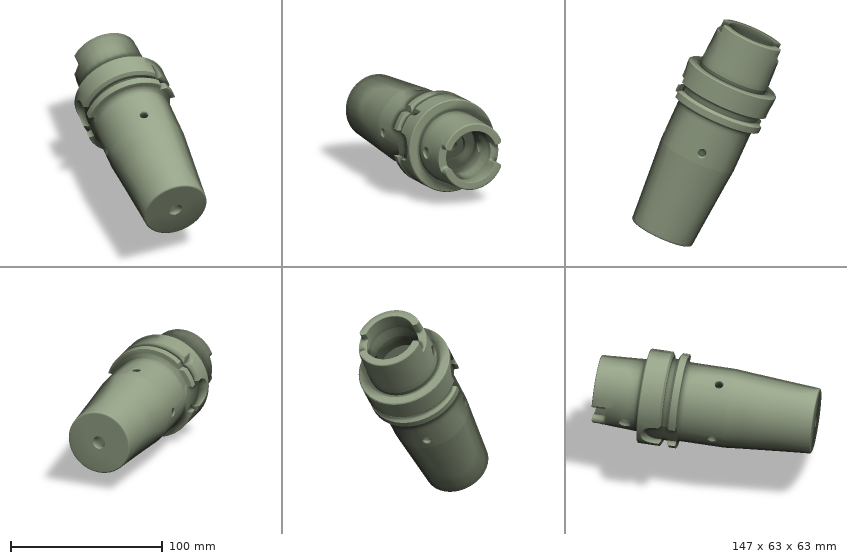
import cadquery as cq
import math

LENGTH = 147.0

NOSE_RADIUS = 22.6
TAPER_END_RADIUS = 24.1
TAPER_LENGTH = 29.7
NOSE_ROUND = 1.0
RELIEF_RADIUS = 23.8
RELIEF_SLOPE_LENGTH = 0.9

FLANGE_START = 31.9
FLANGE_DIAMETER = 63.0
FLANGE_RADIUS = FLANGE_DIAMETER / 2
FLANGE_EDGE = 0.6
FACE_RECESS_RADIUS = 25.6
FACE_RECESS_DEPTH = 0.6

GROOVE_START = 47.9
GROOVE_END = 51.9
GROOVE_RADIUS = 27.2
GROOVE_BEVEL_LENGTH = 1.3
GROOVE_BEVEL_RADIUS = 29.3
COLLAR_END = 57.8
COLLAR_EDGE = 0.3
COLLAR_FILLET = 2.0

BODY_RADIUS = 26.3
CONE_START = 89.5
CONE_ANGLE = 4.5
TIP_ROUND = 1.2

BORE_RIM = 0.3
BORE_RADIUS = 17.3
BORE_DEPTH = 12.5
INNER_BORE_RADIUS = 15.9
INNER_BORE_DEPTH = 30.9
BORE_TAPER_LENGTH = 7.8
COUNTERBORE_RADIUS = 9.1
COUNTERBORE_DEPTH = 3.0
THROUGH_RADIUS = 4.4

KEY_HALF_WIDTH = 6.5
KEY_FLARE_RADIUS = 2.6
KEY_FLARE_START = 18.0
KEY_INNER = 10.3
KEY_FLOOR_FILLET = 1.3
KEY_DEPTH_FRONT = 9.7
KEY_DEPTH_BACK = 5.9

DRIVE_FLAT = BODY_RADIUS
DRIVE_HALF_WIDTH = 9.1
DRIVE_CORNER = 8.1
DRIVE_RIM_START = 35.0
DRIVE_FLAT_START = 36.9

NOTCH_FLAT = 20.0
NOTCH_WALL = 19.8
NOTCH_CORNER = 8.0
NOTCH_CORNER_X = 45.0

CROSS_HOLE_X = 22.8
CROSS_HOLE_RADIUS = 4.0
SCREW_HOLE_X = 81.9
SCREW_HOLE_RADIUS = 2.6
SCREW_HOLE_CHAMFER = 0.6
SCREW_HOLE_DEPTH = 7.4
DRILL_POINT_ANGLE = 118.0
SCREW_HOLE_COUNT = 4

MARGIN = 7.4


def revolve_about_x(profile):
    return profile.close().revolve(360, (0, 0, 0), (1, 0, 0))


def body():
    tip_radius = BODY_RADIUS - (LENGTH - CONE_START) * math.tan(math.radians(CONE_ANGLE))
    recess_floor = FLANGE_START + FACE_RECESS_DEPTH
    outline = (
        cq.Workplane("XY")
        .moveTo(0, 0)
        .lineTo(0, NOSE_RADIUS)
        .lineTo(TAPER_LENGTH, TAPER_END_RADIUS)
        .lineTo(TAPER_LENGTH + RELIEF_SLOPE_LENGTH, RELIEF_RADIUS)
        .lineTo(recess_floor, RELIEF_RADIUS)
        .lineTo(recess_floor, FACE_RECESS_RADIUS)
        .lineTo(FLANGE_START, FACE_RECESS_RADIUS)
        .lineTo(FLANGE_START, FLANGE_RADIUS - FLANGE_EDGE)
        .lineTo(FLANGE_START + FLANGE_EDGE, FLANGE_RADIUS)
        .lineTo(GROOVE_START - GROOVE_BEVEL_LENGTH, FLANGE_RADIUS)
        .lineTo(GROOVE_START, GROOVE_BEVEL_RADIUS)
        .lineTo(GROOVE_START, GROOVE_RADIUS)
        .lineTo(GROOVE_END, GROOVE_RADIUS)
        .lineTo(GROOVE_END, GROOVE_BEVEL_RADIUS)
        .lineTo(GROOVE_END + GROOVE_BEVEL_LENGTH, FLANGE_RADIUS)
        .lineTo(COLLAR_END - COLLAR_EDGE, FLANGE_RADIUS)
        .lineTo(COLLAR_END, FLANGE_RADIUS - COLLAR_EDGE)
        .lineTo(COLLAR_END, BODY_RADIUS + COLLAR_FILLET)
        .radiusArc((COLLAR_END + COLLAR_FILLET, BODY_RADIUS), -COLLAR_FILLET)
        .lineTo(CONE_START, BODY_RADIUS)
        .lineTo(LENGTH, tip_radius)
        .lineTo(LENGTH, 0)
    )
    solid = revolve_about_x(outline)
    return solid.faces("<X").edges().fillet(NOSE_ROUND).faces(">X").edges().fillet(TIP_ROUND)


def bores():
    outline = (
        cq.Workplane("XY")
        .moveTo(0, 0)
        .lineTo(0, BORE_RADIUS + BORE_RIM)
        .lineTo(BORE_RIM, BORE_RADIUS)
        .lineTo(BORE_DEPTH, BORE_RADIUS)
        .lineTo(BORE_DEPTH + BORE_TAPER_LENGTH, INNER_BORE_RADIUS)
        .lineTo(INNER_BORE_DEPTH, INNER_BORE_RADIUS)
        .lineTo(INNER_BORE_DEPTH, COUNTERBORE_RADIUS)
        .lineTo(INNER_BORE_DEPTH + COUNTERBORE_DEPTH, COUNTERBORE_RADIUS)
        .lineTo(INNER_BORE_DEPTH + COUNTERBORE_DEPTH, THROUGH_RADIUS)
        .lineTo(LENGTH, THROUGH_RADIUS)
        .lineTo(LENGTH, 0)
    )
    return revolve_about_x(outline)


def key_slot(side, depth):
    """Nose slot whose walls flare outward; side is +1 or -1 along Y."""
    flare_y = KEY_FLARE_START + KEY_FLARE_RADIUS
    flare_z = KEY_HALF_WIDTH + KEY_FLARE_RADIUS
    mid_offset = KEY_FLARE_RADIUS * math.sqrt(0.5)
    mid_y = KEY_FLARE_START + mid_offset
    mid_z = flare_z - mid_offset
    outer_y = NOSE_RADIUS + MARGIN
    outer_z = flare_z + MARGIN
    slot = (
        cq.Workplane("YZ")
        .moveTo(side * KEY_INNER, -KEY_HALF_WIDTH)
        .lineTo(side * KEY_FLARE_START, -KEY_HALF_WIDTH)
        .threePointArc((side * mid_y, -mid_z), (side * flare_y, -flare_z))
        .lineTo(side * flare_y, -outer_z)
        .lineTo(side * outer_y, -outer_z)
        .lineTo(side * outer_y, outer_z)
        .lineTo(side * flare_y, outer_z)
        .lineTo(side * flare_y, flare_z)
        .threePointArc((side * mid_y, mid_z), (side * KEY_FLARE_START, KEY_HALF_WIDTH))
        .lineTo(side * KEY_INNER, KEY_HALF_WIDTH)
        .close()
        .extrude(depth)
    )
    return slot.faces(">X").edges().fillet(KEY_FLOOR_FILLET)


def drive_outline(plane, start):
    """Slot outline with two rounded corners at its closed end."""
    end = COLLAR_END + COLLAR_FILLET
    corner_x = start + DRIVE_CORNER
    straight_z = DRIVE_HALF_WIDTH - DRIVE_CORNER
    return (
        plane.moveTo(end, -DRIVE_HALF_WIDTH)
        .lineTo(corner_x, -DRIVE_HALF_WIDTH)
        .radiusArc((start, -straight_z), DRIVE_CORNER)
        .lineTo(start, straight_z)
        .radiusArc((corner_x, DRIVE_HALF_WIDTH), DRIVE_CORNER)
        .lineTo(end, DRIVE_HALF_WIDTH)
        .close()
    )


def drive_slot():
    """Flat-bottomed slot on the -Y side with a sloping closed end."""
    floor = cq.Workplane("XZ").workplane(offset=DRIVE_FLAT)
    rim = drive_outline(floor, DRIVE_FLAT_START).workplane(offset=FLANGE_RADIUS - DRIVE_FLAT)
    return drive_outline(rim, DRIVE_RIM_START).loft(ruled=True)


def orientation_notch():
    """Corner cut on the +Y, +Z side with one rounded end."""
    start = NOTCH_CORNER_X - NOTCH_CORNER
    top = FLANGE_RADIUS + MARGIN
    return (
        cq.Workplane("XZ")
        .workplane(offset=-top)
        .moveTo(COLLAR_END + COLLAR_FILLET, NOTCH_WALL)
        .lineTo(NOTCH_CORNER_X, NOTCH_WALL)
        .radiusArc((start, NOTCH_WALL + NOTCH_CORNER), NOTCH_CORNER)
        .lineTo(start, top)
        .lineTo(COLLAR_END + COLLAR_FILLET, top)
        .close()
        .extrude(top - NOTCH_FLAT)
    )


def cross_hole():
    return (
        cq.Workplane("XZ")
        .center(CROSS_HOLE_X, 0)
        .circle(CROSS_HOLE_RADIUS)
        .extrude(FLANGE_RADIUS, both=True)
    )


def screw_hole():
    """Blind drilled hole with a chamfered mouth, from the -Y side of the body."""
    floor = BODY_RADIUS - SCREW_HOLE_DEPTH
    mouth_radius = SCREW_HOLE_RADIUS + SCREW_HOLE_CHAMFER
    point_length = SCREW_HOLE_RADIUS / math.tan(math.radians(DRILL_POINT_ANGLE / 2))
    return (
        cq.Workplane("XY")
        .moveTo(SCREW_HOLE_X, -floor + point_length)
        .lineTo(SCREW_HOLE_X + SCREW_HOLE_RADIUS, -floor)
        .lineTo(SCREW_HOLE_X + SCREW_HOLE_RADIUS, -BODY_RADIUS + SCREW_HOLE_CHAMFER)
        .lineTo(SCREW_HOLE_X + mouth_radius, -BODY_RADIUS)
        .lineTo(SCREW_HOLE_X + mouth_radius, -BODY_RADIUS - MARGIN)
        .lineTo(SCREW_HOLE_X, -BODY_RADIUS - MARGIN)
        .close()
        .revolve(360, (SCREW_HOLE_X, 0, 0), (SCREW_HOLE_X, 1, 0))
    )


def around_x(shape, angle):
    return shape.rotate((0, 0, 0), (1, 0, 0), angle)


holder = body().cut(bores())
holder = holder.cut(key_slot(-1, KEY_DEPTH_FRONT)).cut(key_slot(1, KEY_DEPTH_BACK))
for slot_angle in (0, 180):
    holder = holder.cut(around_x(drive_slot(), slot_angle))
holder = holder.cut(orientation_notch()).cut(cross_hole())
for index in range(SCREW_HOLE_COUNT):
    holder = holder.cut(around_x(screw_hole(), index * 360 / SCREW_HOLE_COUNT))

result = holder